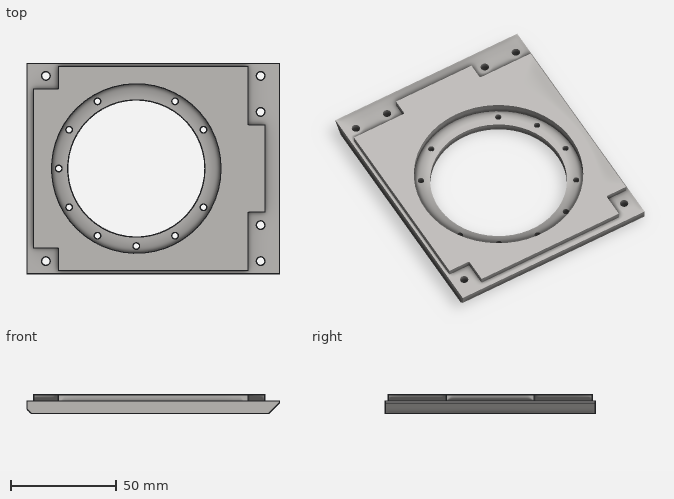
import cadquery as cq
import math

length = 120.0
width = 100.0
total_height = 9.0
pad_height = 3.0
plate_height = total_height - pad_height
left_chamfer = 2.0
right_chamfer = 5.0

pad_margin_left = 3.2
pad_margin_right = 7.0
pad_margin_side = 1.5
notch_inset = 15.0
left_notch_depth = 12.2
right_tab_half_width = 20.8
notch_fillet = 0.5

opening_x = -8.0
bore_diameter = 65.0
recess_diameter = 80.5
recess_depth = 5.0

ring_radius = 36.8
ring_hole_diameter = 3.0
ring_step = 30
first_ring_angle = 30
last_ring_angle = 330
skipped_ring_angle = 90

mount_hole_diameter = 4.0
mount_inset_x = 9.0
mount_inset_y = 6.0
inner_mount_y = 26.9

half_length = length / 2
half_width = width / 2


def make_plate():
    """Plate with its lower left and lower right edges chamfered."""
    profile = [
        (-half_length, plate_height),
        (-half_length, left_chamfer),
        (-half_length + left_chamfer, 0),
        (half_length - right_chamfer, 0),
        (half_length, right_chamfer),
        (half_length, plate_height),
    ]
    return cq.Workplane("XZ").polyline(profile).close().extrude(half_width, both=True)


def make_pad():
    """Raised pad: a full-width body with a tab towards each end of X."""
    notch_x = half_length - notch_inset
    side_y = half_width - pad_margin_side
    left_x = -half_length + pad_margin_left
    right_x = half_length - pad_margin_right
    left_tab_half_width = half_width - left_notch_depth

    inner_corners = [
        (x, sign * y)
        for x, y in ((-notch_x, left_tab_half_width), (notch_x, right_tab_half_width))
        for sign in (-1, 1)
    ]
    body = cq.Workplane("XY").workplane(offset=plate_height).rect(2 * notch_x, 2 * side_y)
    pad = body.extrude(pad_height)
    for end_x, tab_half_width in ((left_x, left_tab_half_width), (right_x, right_tab_half_width)):
        tab = (
            cq.Workplane("XY")
            .workplane(offset=plate_height)
            .center(end_x / 2, 0)
            .rect(abs(end_x), 2 * tab_half_width)
            .extrude(pad_height)
        )
        pad = pad.union(tab)

    pad_middle_z = plate_height + pad_height / 2
    for x, y in inner_corners:
        corner = cq.selectors.NearestToPointSelector((x, y, pad_middle_z))
        pad = pad.edges("|Z").edges(corner).fillet(notch_fillet)
    return pad


def cut_through_holes(body, points, diameter):
    """Drill vertical holes through the whole part."""
    drills = cq.Workplane("XY").pushPoints(points).circle(diameter / 2).extrude(total_height)
    return body.cut(drills)


def cut_opening(body):
    """Cut the through bore and the wider recess above it."""
    body = cut_through_holes(body, [(opening_x, 0)], bore_diameter)
    recess = (
        cq.Workplane("XY")
        .workplane(offset=total_height - recess_depth)
        .center(opening_x, 0)
        .circle(recess_diameter / 2)
        .extrude(recess_depth)
    )
    return body.cut(recess)


def ring_points():
    """Even steps around the opening, leaving out the +X and +Y positions."""
    angles = range(first_ring_angle, last_ring_angle + 1, ring_step)
    return [
        (
            opening_x + ring_radius * math.cos(math.radians(angle)),
            ring_radius * math.sin(math.radians(angle)),
        )
        for angle in angles
        if angle != skipped_ring_angle
    ]


def mount_points():
    """One hole at each corner plus an inner pair along the +X edge."""
    mount_x = half_length - mount_inset_x
    mount_y = half_width - mount_inset_y
    corners = [(x, y) for x in (-mount_x, mount_x) for y in (-mount_y, mount_y)]
    inner_pair = [(mount_x, -inner_mount_y), (mount_x, inner_mount_y)]
    return corners + inner_pair


result = make_plate().union(make_pad())
result = cut_opening(result)
result = cut_through_holes(result, ring_points(), ring_hole_diameter)
result = cut_through_holes(result, mount_points(), mount_hole_diameter)